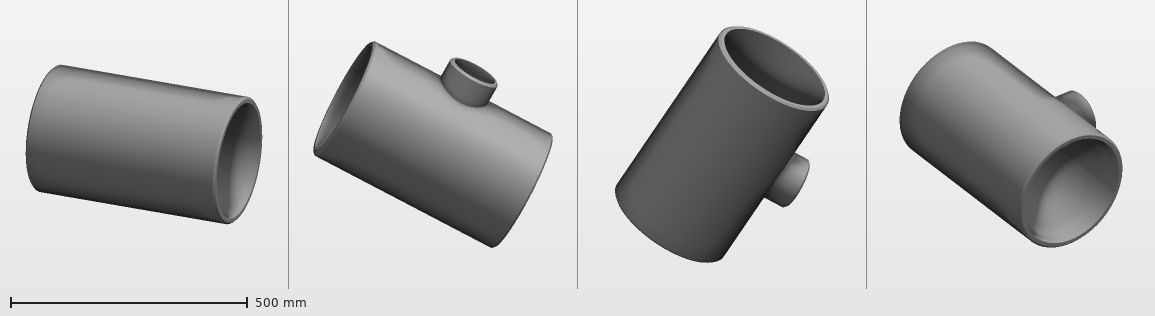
import cadquery as cq

run_length = 432.0
run_diameter = 273.0
run_wall = 12.5
branch_reach = 184.5
branch_diameter = 114.5
branch_wall = 8.5

bevel = 4.5


def rod(diameter, length):
    """Solid rod from the origin along +Z."""
    return cq.Workplane("XY").circle(diameter / 2).extrude(length)


def along_run(body):
    """Turn a +Z rod of run length onto the X axis, centred on the origin."""
    return body.rotate((0, 0, 0), (0, 1, 0), -90).translate((run_length / 2, 0, 0))


def along_branch(body):
    """Turn a +Z rod onto the +Y axis, starting at the run axis."""
    return body.rotate((0, 0, 0), (1, 0, 0), -90)


run = along_run(rod(run_diameter, run_length).faces("<Z or >Z").chamfer(bevel))
branch = along_branch(rod(branch_diameter, branch_reach).faces(">Z").chamfer(bevel))

run_bore = along_run(rod(run_diameter - 2 * run_wall, run_length))
branch_bore = along_branch(rod(branch_diameter - 2 * branch_wall, branch_reach))

result = run.union(branch).cut(run_bore).cut(branch_bore)